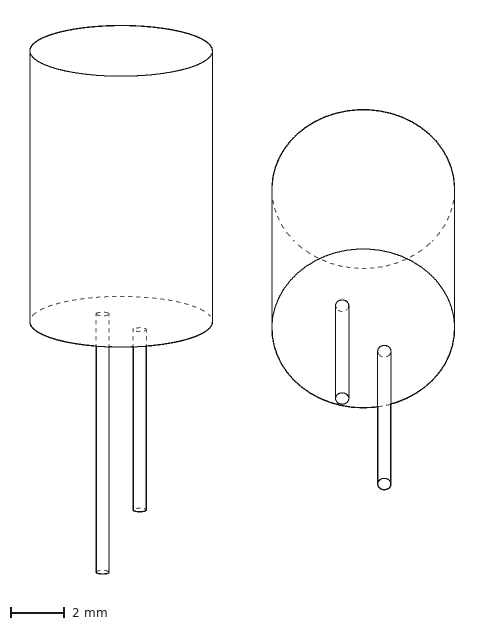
import cadquery as cq

total_height = 20.5
can_diameter = 6.8
long_lead_length = 10.0
can_height = total_height - long_lead_length

lead_diameter = 0.5
lead_spacing = 2.5
short_lead_length = 7.0


def make_can():
    """Solid upright cylinder standing on the XY plane."""
    return cq.Workplane("XY").circle(can_diameter / 2).extrude(can_height)


def make_lead(x, length):
    """Straight round lead hanging from the underside of the can."""
    return cq.Workplane("XY").center(x, 0).circle(lead_diameter / 2).extrude(-length)


can = make_can()

lead_layout = [
    (-lead_spacing / 2, long_lead_length),
    (lead_spacing / 2, short_lead_length),
]
leads = [make_lead(x, length) for x, length in lead_layout]

result = cq.Compound.makeCompound([can.val(), *[lead.val() for lead in leads]])